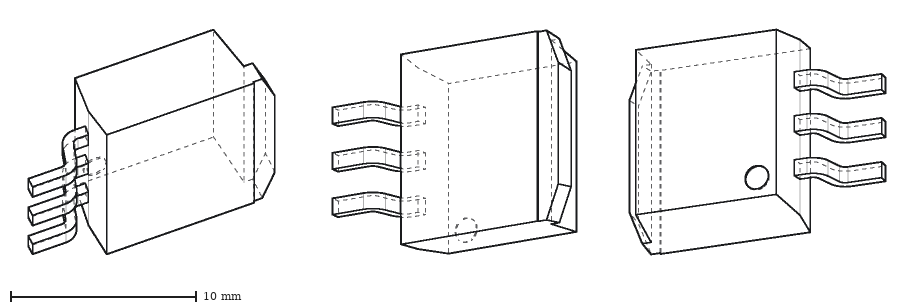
import cadquery as cq
import math

body_depth = 4.6
parting_depth = 2.58
face_height = 9.57
back_height = 10.68
face_bottom_y = 4.52
parting_bottom_y = 4.19
back_bottom_y = 4.38
face_top_y = 12.7
shoulder_y = 13.09

tab_front_x = 3.2
tab_back_x = 4.5
tab_corner_y = 13.6
tab_top_y = 14.35
tab_top_width = 6.83
tab_root_y = 12.2

lead_count = 3
lead_pitch = 2.55
lead_width = 0.92
lead_thickness = 0.6
lead_front_x = 1.98
lead_bend_y = 3.56
lead_inner_radius = 0.39
lead_bend_angle = 75.0
lead_root_y = 5.74

mark_radius = 0.67
mark_depth = 0.1
mark_y = 5.67
mark_z = -3.63


def make_body():
    """Body outline with its drafted ends, extruded over the full height."""
    outline = [
        (0, face_bottom_y),
        (parting_depth, parting_bottom_y),
        (body_depth, back_bottom_y),
        (body_depth, shoulder_y),
        (tab_front_x, shoulder_y),
        (0, face_top_y),
    ]
    return cq.Workplane("XY").polyline(outline).close().extrude(back_height / 2, both=True)


def side_half_height(x):
    """Half the height between the sloping +Z and -Z sides at depth x."""
    return (face_height + (back_height - face_height) * x / body_depth) / 2


def tab_outline(x):
    """Tab corners at depth x; the corner cuts keep the same slope as the sides."""
    shoulder_z = side_half_height(x)
    tip_z = tab_top_width / 2 - (side_half_height(tab_back_x) - shoulder_z)
    return [
        (tab_root_y, -shoulder_z),
        (tab_corner_y, -shoulder_z),
        (tab_top_y, -tip_z),
        (tab_top_y, tip_z),
        (tab_corner_y, shoulder_z),
        (tab_root_y, shoulder_z),
    ]


def make_tab():
    """Tab flaring toward the back with sloping corners, rooted inside the body."""
    front = cq.Workplane("YZ", origin=(tab_front_x, 0, 0)).polyline(tab_outline(tab_front_x)).close()
    back = front.workplane(offset=tab_back_x - tab_front_x).polyline(tab_outline(tab_back_x)).close()
    return back.loft(ruled=True)


def make_side_taper():
    """Wedge that sets the sloping +Z and -Z sides of the body."""
    outline = [
        (0, -face_height / 2),
        (body_depth, -back_height / 2),
        (body_depth, back_height / 2),
        (0, face_height / 2),
    ]
    return cq.Workplane("XZ").polyline(outline).close().extrude(-shoulder_y)


def make_lead():
    """Gull-wing lead swept along its center line, centered on Z = 0."""
    bend_radius = lead_inner_radius + lead_thickness / 2
    angle = math.radians(lead_bend_angle)
    root_x = lead_front_x + lead_thickness / 2
    foot_x = body_depth - lead_thickness / 2
    bend_dx = bend_radius * (1 - math.cos(angle))
    bend_dy = bend_radius * math.sin(angle)
    half_dx = bend_radius * (1 - math.cos(angle / 2))
    half_dy = bend_radius * math.sin(angle / 2)

    slant_start = (root_x + bend_dx, lead_bend_y - bend_dy)
    slant_end_x = foot_x - bend_dx
    slant_drop = (slant_end_x - slant_start[0]) / math.tan(angle)
    slant_end = (slant_end_x, slant_start[1] - slant_drop)
    foot_bend_y = slant_end[1] - bend_dy

    path = (
        cq.Workplane("XY")
        .moveTo(root_x, lead_root_y)
        .lineTo(root_x, lead_bend_y)
        .threePointArc((root_x + half_dx, lead_bend_y - half_dy), slant_start)
        .lineTo(*slant_end)
        .threePointArc((foot_x - half_dx, foot_bend_y + half_dy), (foot_x, foot_bend_y))
        .lineTo(foot_x, 0)
    )
    section = cq.Workplane("XZ", origin=(root_x, lead_root_y, 0)).rect(lead_thickness, lead_width)
    return section.sweep(path)


def make_mark():
    """Shallow disc to be recessed into the front face."""
    return cq.Workplane("YZ").center(mark_y, mark_z).circle(mark_radius).extrude(mark_depth)


result = make_body().intersect(make_side_taper()).union(make_tab())

lead = make_lead()
for index in range(lead_count):
    lead_z = (index - (lead_count - 1) / 2) * lead_pitch
    result = result.union(lead.translate((0, 0, lead_z)))

result = result.cut(make_mark())